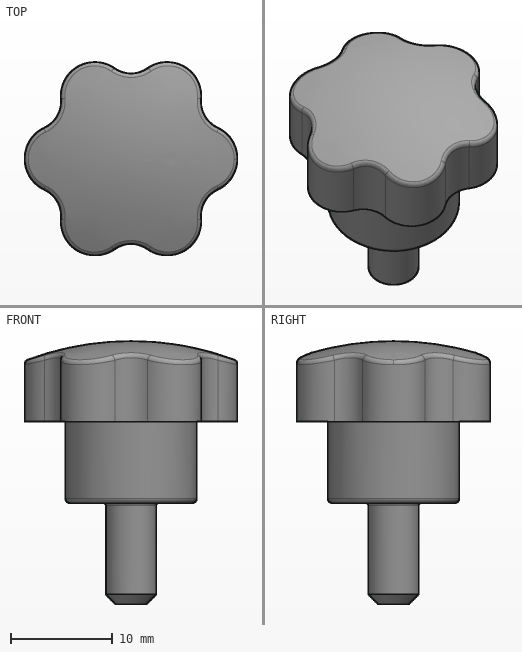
import cadquery as cq
import math

total_height = 26.0
hub_bottom = 9.98
head_bottom = 18.05

lobe_count = 6
tip_radius = 10.5
lobe_radius = 3.38
groove_radius = 2.8
dome_radius = 29.12
rim_fillet = 0.52

hub_diameter = 13.0
hub_fillet = 0.5
stud_diameter = 5.0
stud_tip_diameter = 3.0
stud_tip_height = 1.0
neck_fillet = 0.2


def polar(radius, angle):
    return (radius * math.cos(angle), radius * math.sin(angle))


def lobed_outline():
    """Closed outline of convex lobes joined by tangent concave grooves; one lobe points along +X."""
    half_pitch = math.pi / lobe_count
    lobe_center = tip_radius - lobe_radius
    half_spacing = lobe_center * math.sin(half_pitch)
    center_gap = math.sqrt((lobe_radius + groove_radius) ** 2 - half_spacing**2)
    groove_center = lobe_center * math.cos(half_pitch) + center_gap
    share = lobe_radius / (lobe_radius + groove_radius)
    groove_x, groove_y = polar(groove_center, half_pitch)
    joint_x = lobe_center + share * (groove_x - lobe_center)
    joint_y = share * groove_y
    joint_radius = math.hypot(joint_x, joint_y)
    joint_angle = math.atan2(joint_y, joint_x)
    valley_radius = groove_center - groove_radius

    outline = cq.Workplane("XY", origin=(0, 0, head_bottom)).moveTo(*polar(joint_radius, -joint_angle))
    for index in range(lobe_count):
        lobe_angle = 2 * half_pitch * index
        groove_angle = lobe_angle + half_pitch
        next_lobe_angle = groove_angle + half_pitch
        lobe_end = polar(joint_radius, lobe_angle + joint_angle)
        groove_end = polar(joint_radius, next_lobe_angle - joint_angle)
        outline = outline.threePointArc(polar(tip_radius, lobe_angle), lobe_end)
        outline = outline.threePointArc(polar(valley_radius, groove_angle), groove_end)
    return outline.close()


def make_head():
    """Lobed prism capped by a shallow spherical dome with a rounded rim."""
    prism = lobed_outline().extrude(total_height - head_bottom)
    dome = cq.Workplane("XY").sphere(dome_radius).translate((0, 0, total_height - dome_radius))
    return prism.intersect(dome).faces("%SPHERE").edges().fillet(rim_fillet)


def make_hub():
    """Cylinder below the head with a rounded lower edge."""
    base = cq.Workplane("XY", origin=(0, 0, hub_bottom))
    hub = base.circle(hub_diameter / 2).extrude(head_bottom - hub_bottom)
    return hub.faces("<Z").edges().fillet(hub_fillet)


def make_stud():
    """Stud with a conical tip and a concave fillet where it meets the hub."""
    radius = stud_diameter / 2
    neck_z = hub_bottom - neck_fillet
    arc_offset = neck_fillet * (1 - math.sqrt(0.5))
    return (
        cq.Workplane("XZ")
        .lineTo(stud_tip_diameter / 2, 0)
        .lineTo(radius, stud_tip_height)
        .lineTo(radius, neck_z)
        .threePointArc((radius + arc_offset, hub_bottom - arc_offset), (radius + neck_fillet, hub_bottom))
        .lineTo(0, hub_bottom)
        .close()
        .revolve(360, (0, 0, 0), (0, 1, 0))
    )


result = make_head().union(make_hub()).union(make_stud())